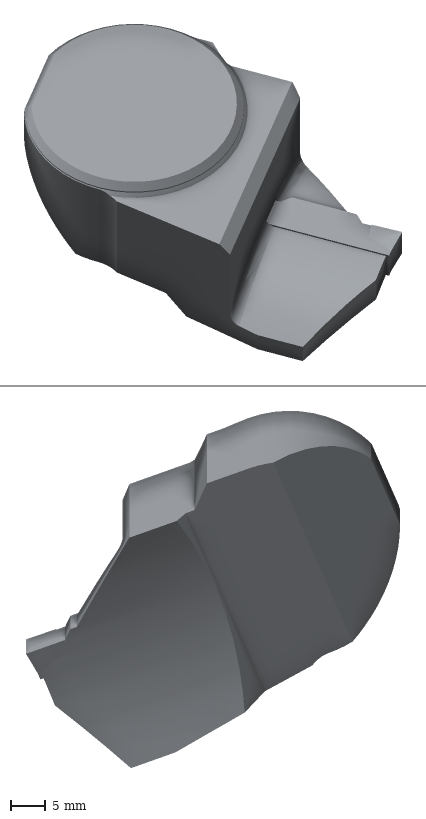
import cadquery as cq
import math


seat_radius = 16.05
cap_radius = 15.95
flat_x = -15.0
cap_top = 17.8
cap_chamfer = 1.0
rim_top = 16.55
rim_foot_radius = 16.5

block_top = 16.05
back_y = 12.7
back_corner_x = 6.55
back_step_x = 9.8
wall_x = 21.65
wall_chamfer_x = 1.75
wall_chamfer_z = 1.35
slope_start_z = 11.35
lower_step_x = 11.15

corner_end_x = 3.2
corner_end_y = -17.05

blade_front_y = -21.0
blade_front_start_x = 26.15
blade_front_end_x = 33.1
blade_end_x = 40.15
blade_bevel_y = -8.85
diagonal_start_x = 20.0
diagonal_end_x = 32.65
blade_floor = -5.6
underside_apex_y = 0.6
underside_apex_z = -0.35
underside_radius = 64.8
upper_apex_y = -3.35
upper_apex_z = 3.75
upper_radius = 35.9
root_fillet = 1.45

pad_top = 4.05
pad_bottom = 2.25
pad_front_y = -4.4
pad_back_y = 1.5
pad_end_x = 40.7
edge_y = 0.15
pad_slope = pad_back_y - edge_y
pad_back_start_x = 23.75
pad_back_end_x = 33.65

tip_corner = (41.1, edge_y)
tip_inner_back = (36.4, edge_y)
tip_inner_front = (36.7, -2.0)
tip_outer_front = (pad_end_x, -3.5)
tip_top = 4.45

margin = 5.6


def arc_profile(apex_y, apex_z, radius, far_z):
    """Prism along X between a crowned arc in the YZ plane and the level far_z."""
    half_width = 28.05
    end_z = apex_z - radius + math.sqrt(radius**2 - half_width**2)
    left_y = apex_y - half_width
    right_y = apex_y + half_width
    return (
        cq.Workplane("YZ")
        .moveTo(left_y, end_z)
        .threePointArc((apex_y, apex_z), (right_y, end_z))
        .lineTo(right_y, far_z)
        .lineTo(left_y, far_z)
        .close()
        .extrude(tip_corner[0] + margin)
    )


def plan_prism(bottom, top):
    """The holder's whole plan outline, raised between two levels."""
    flat_half = math.sqrt(seat_radius**2 - flat_x**2)
    diagonal = seat_radius / math.sqrt(2)
    return (
        cq.Workplane("XY", origin=(0, 0, bottom))
        .moveTo(flat_x, flat_half)
        .lineTo(flat_x, -flat_half)
        .threePointArc((-diagonal, -diagonal), (0, -seat_radius))
        .tangentArcPoint((corner_end_x, corner_end_y), relative=False)
        .lineTo(blade_front_start_x, blade_front_y)
        .lineTo(blade_front_end_x, blade_front_y)
        .lineTo(blade_end_x, blade_bevel_y)
        .lineTo(blade_end_x, pad_front_y)
        .lineTo(pad_end_x, pad_front_y)
        .lineTo(pad_end_x, edge_y)
        .lineTo(pad_back_end_x + pad_slope, edge_y)
        .lineTo(pad_back_end_x, pad_back_y)
        .lineTo(diagonal_end_x, pad_back_y)
        .lineTo(diagonal_start_x, back_y)
        .lineTo(back_step_x, back_y)
        .lineTo(back_corner_x, seat_radius)
        .lineTo(0, seat_radius)
        .threePointArc((-diagonal, diagonal), (flat_x, flat_half))
        .close()
        .extrude(top - bottom)
    )


def side_prism():
    """Side outline of the holder: underside slopes, block top and chamfered end wall."""
    end_x = tip_corner[0] + margin
    return (
        cq.Workplane("XZ")
        .moveTo(flat_x, block_top)
        .lineTo(flat_x, slope_start_z)
        .lineTo(flat_x + slope_start_z, 0)
        .lineTo(lower_step_x, 0)
        .lineTo(lower_step_x - blade_floor, blade_floor)
        .lineTo(end_x, blade_floor)
        .lineTo(end_x, block_top - wall_chamfer_z)
        .lineTo(wall_x, block_top - wall_chamfer_z)
        .lineTo(wall_x - wall_chamfer_x, block_top)
        .close()
        .extrude(2 * seat_radius, both=True)
    )


def blade_clearance():
    """Space above the blade, with a rounded corner at the end wall."""
    above = arc_profile(upper_apex_y, upper_apex_z, upper_radius, block_top + margin)
    clearance = above.translate((wall_x, 0, 0))
    return clearance.faces("<X").edges("%CIRCLE").fillet(root_fillet)


def pad(bottom, top):
    """Pad outline raised between two levels."""
    outline = [
        (wall_x, pad_front_y),
        (pad_end_x, pad_front_y),
        (pad_end_x, edge_y),
        (pad_back_end_x + pad_slope, edge_y),
        (pad_back_end_x, pad_back_y),
        (pad_back_start_x, pad_back_y),
        (pad_back_start_x - pad_slope, edge_y),
        (wall_x, edge_y),
    ]
    return cq.Workplane("XY", origin=(0, 0, bottom)).polyline(outline).close().extrude(top - bottom)


def flat_keeper(top):
    """Box holding everything on the inner side of the flat, up to a level."""
    length = seat_radius + margin - flat_x
    width = 2 * (seat_radius + margin)
    keeper = cq.Workplane("XY").box(length, width, top, centered=(False, True, False))
    return keeper.translate((flat_x, 0, 0))


def seat_cap():
    """Cap disc with its top edge chamfered around the arc and along the flat."""
    disc = cq.Workplane("XY", origin=(0, 0, block_top)).circle(cap_radius).extrude(cap_top - block_top)
    disc = disc.faces(">Z").chamfer(cap_chamfer)
    return disc.intersect(flat_keeper(cap_top).edges(">Z and <X").chamfer(cap_chamfer))


def seat_rim():
    """Sloping rim from the cap down to the block top, kept inside the plan outline."""
    cone = (
        cq.Workplane("XZ")
        .moveTo(0, block_top)
        .lineTo(rim_foot_radius, block_top)
        .lineTo(cap_radius, rim_top)
        .lineTo(0, rim_top)
        .close()
        .revolve(360, (0, 0, 0), (0, 1, 0))
    )
    return cone.intersect(plan_prism(block_top - margin, cap_top))


def below_underside():
    """Everything below the curved underside."""
    return arc_profile(
        underside_apex_y, underside_apex_z, underside_radius, blade_floor - 2 * margin
    )


def make_tip():
    """Cutting tip with a top face that rises from the pad to the cutting corner."""
    tip = (
        cq.Workplane("XY", origin=(0, 0, blade_floor))
        .polyline([tip_corner, tip_inner_back, tip_inner_front, tip_outer_front])
        .close()
        .extrude(tip_top + margin - blade_floor)
    )
    base = cq.Vector(*tip_inner_front, pad_top)
    base_line = cq.Vector(*tip_outer_front, pad_top) - base
    normal = base_line.cross(cq.Vector(*tip_corner, tip_top) - base)
    top_plane = cq.Plane(origin=base.toTuple(), xDir=base_line.toTuple(), normal=normal.toTuple())
    above_top = cq.Workplane(top_plane).rect(4 * margin, 4 * margin).extrude(4 * margin)
    return tip.cut(above_top).cut(below_underside())


def make_holder(tip):
    """Holder with a recess that matches the tip."""
    holder = plan_prism(blade_floor, block_top).intersect(side_prism())
    holder = holder.cut(blade_clearance())
    holder = holder.cut(pad(pad_top, pad_top + margin))
    holder = holder.union(pad(pad_bottom, pad_top))
    holder = holder.cut(below_underside())
    holder = holder.union(seat_rim())
    holder = holder.union(seat_cap())
    return holder.cut(tip)


cutting_tip = make_tip()
holder = make_holder(cutting_tip)

result = cq.Compound.makeCompound([holder.val(), cutting_tip.val()])